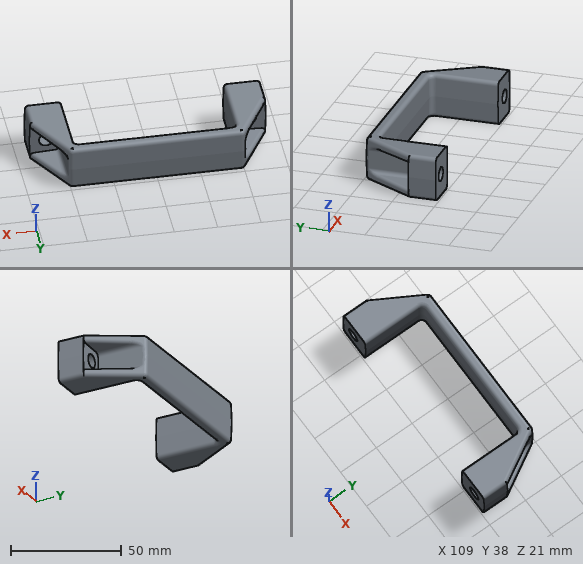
import cadquery as cq
import math

length = 109.0
height = 38.0
width = 21.0

foot_height = 13.1
slant_angle = 30.0
foot_length = 17.4
bar_thickness = 6.1
outer_corner_radius = 2.2
inner_corner_radius = 2.3
draft = 2.0
edge_radius = 2.0

pocket_floor = 13.7
pocket_half_width = 6.1
pocket_draft = 2.5
pocket_floor_radius = 2.0
pocket_rim_radius = 1.6

hole_diameter = 6.5
hole_inset = 7.7

half_length = length / 2
half_width = width / 2
shoulder_x = half_length - (height - foot_height) * math.tan(math.radians(slant_angle))
inner_x = half_length - foot_length
bar_inner_y = height - bar_thickness
leg_extension = 5.5
margin = 1.1


def make_half():
    """One drafted half of the handle above the mid-plane, with its legs over-long."""
    arc_start_x = inner_x - inner_corner_radius
    arc_end_y = bar_inner_y - inner_corner_radius
    half = (
        cq.Workplane("XY")
        .moveTo(-half_length, -leg_extension)
        .lineTo(-half_length, foot_height)
        .lineTo(-shoulder_x, height)
        .lineTo(shoulder_x, height)
        .lineTo(half_length, foot_height)
        .lineTo(half_length, -leg_extension)
        .lineTo(inner_x, -leg_extension)
        .lineTo(inner_x, arc_end_y)
        .radiusArc((arc_start_x, bar_inner_y), -inner_corner_radius)
        .lineTo(-arc_start_x, bar_inner_y)
        .radiusArc((-inner_x, arc_end_y), -inner_corner_radius)
        .lineTo(-inner_x, -leg_extension)
        .close()
        .extrude(half_width, taper=draft)
    )
    shoulders = cq.selectors.BoxSelector(
        (-length, height - margin, margin),
        (length, height + margin, half_width - margin),
    )
    half = half.edges(shoulders).fillet(outer_corner_radius)
    return half.faces(">Z").edges().fillet(edge_radius)


def make_body():
    half = make_half()
    waste = cq.Workplane("XZ").rect(2 * length, length).extrude(length)
    return half.union(half.mirror("XY")).cut(waste)


def make_pocket():
    """Right-hand pocket: an upright floor and drafted sides, open through the slanted face."""
    floor_x = half_length - pocket_floor
    mouth_half_width = pocket_half_width + pocket_floor * math.tan(math.radians(pocket_draft))
    return (
        cq.Workplane("XZ", origin=(0, foot_height, 0))
        .moveTo(floor_x, -pocket_half_width)
        .lineTo(half_length, -mouth_half_width)
        .lineTo(half_length, mouth_half_width)
        .lineTo(floor_x, pocket_half_width)
        .close()
        .extrude(-height)
        .edges("|Y and <X")
        .fillet(pocket_floor_radius)
    )


def cut_pockets(body):
    """Cut both pockets and round their rims on the slanted faces."""
    pocket = make_pocket()
    body = body.cut(pocket).cut(pocket.mirror("YZ"))
    rim_start_x = half_length - pocket_floor + pocket_floor_radius
    rim_half_width = half_width - edge_radius
    for inner, outer in [(rim_start_x, half_length), (-half_length, -rim_start_x)]:
        rim = cq.selectors.BoxSelector(
            (inner, foot_height + margin, -rim_half_width), (outer, height, rim_half_width)
        )
        body = body.edges(rim).fillet(pocket_rim_radius)
    return body


def make_holes():
    """Straight holes from the ends of the feet up into the pockets."""
    hole_x = half_length - hole_inset
    return (
        cq.Workplane("XZ")
        .pushPoints([(-hole_x, 0), (hole_x, 0)])
        .circle(hole_diameter / 2)
        .extrude(-foot_height)
    )


result = cut_pockets(make_body()).cut(make_holes())